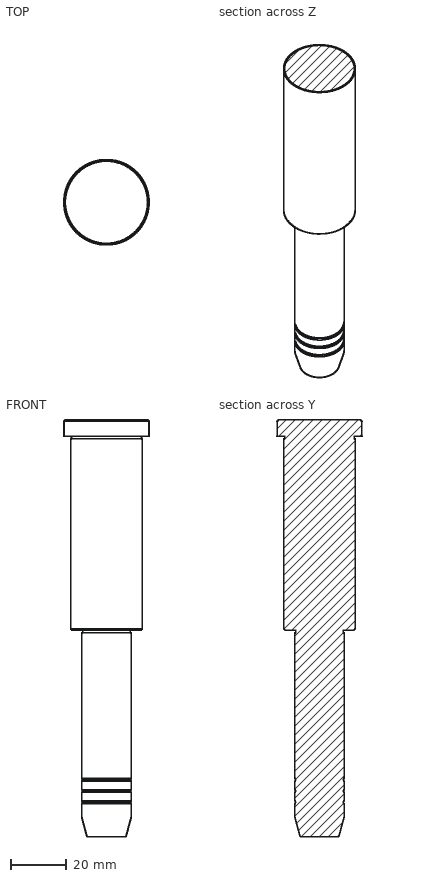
import cadquery as cq
import math

total_length = 151.0
head_height = 6.0
pin_length = 74.7
underhead_z = total_length - head_height

head_diameter = 31.0
body_diameter = 26.0
pin_diameter = 18.0

head_chamfer = 0.6
body_chamfer = 0.6
relief_height = 0.9
relief_depth = 0.3

taper_height = 7.1
taper_angle = 15.0
tip_fillet = 0.6

groove_count = 3
groove_width = 1.0
groove_depth = 0.3
groove_pitch = 4.1
lowest_groove_z = 12.5


def cylinder(diameter, bottom, top):
    return cq.Workplane("XY").workplane(offset=bottom).circle(diameter / 2).extrude(top - bottom)


def ring_cut(diameter, depth, bottom, height):
    """Ring that removes the outer skin of a cylinder down to the given depth."""
    outer = cylinder(diameter, bottom, bottom + height)
    return outer.cut(cylinder(diameter - 2 * depth, bottom, bottom + height))


def groove_cut(center_z):
    """V-section ring whose sharp edge points toward the pin axis."""
    pin_radius = pin_diameter / 2
    section = cq.Workplane("XZ").polyline([
        (pin_radius, center_z - groove_width / 2),
        (pin_radius - groove_depth, center_z),
        (pin_radius, center_z + groove_width / 2),
    ]).close()
    return section.revolve(360, (0, 0), (0, 1))


def make_head():
    head = cylinder(head_diameter, underhead_z, total_length)
    return head.faces(">Z").edges().chamfer(head_chamfer)


def make_body():
    body = cylinder(body_diameter, pin_length, underhead_z)
    body = body.faces("<Z").edges().chamfer(body_chamfer)
    relief_z = underhead_z - relief_height
    return body.cut(ring_cut(body_diameter, relief_depth, relief_z, relief_height))


def make_pin():
    taper_inset = taper_height * math.tan(math.radians(taper_angle))
    pin = cylinder(pin_diameter, 0, pin_length)
    pin = pin.faces("<Z").edges().chamfer(taper_height, taper_inset)
    pin = pin.faces("<Z").edges().fillet(tip_fillet)
    relief_z = pin_length - relief_height
    pin = pin.cut(ring_cut(pin_diameter, relief_depth, relief_z, relief_height))
    for index in range(groove_count):
        center_z = lowest_groove_z + index * groove_pitch
        pin = pin.cut(groove_cut(center_z))
    return pin


result = make_head().union(make_body()).union(make_pin())